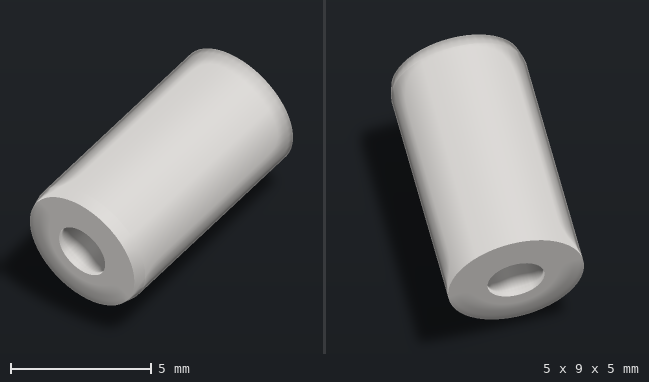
import cadquery as cq
import math

length = 9.0
outer_diameter = 5.0
bore_diameter = 2.1
lead_in_length = 0.47
lead_in_angle = 15.0

outer_radius = outer_diameter / 2
bore_radius = bore_diameter / 2
front_radius = outer_radius - lead_in_length * math.tan(math.radians(lead_in_angle))

half_section = (
    cq.Workplane("XY")
    .moveTo(bore_radius, 0)
    .lineTo(front_radius, 0)
    .lineTo(outer_radius, lead_in_length)
    .lineTo(outer_radius, length)
    .lineTo(bore_radius, length)
    .close()
)

result = half_section.revolve(360, (0, 0, 0), (0, 1, 0))